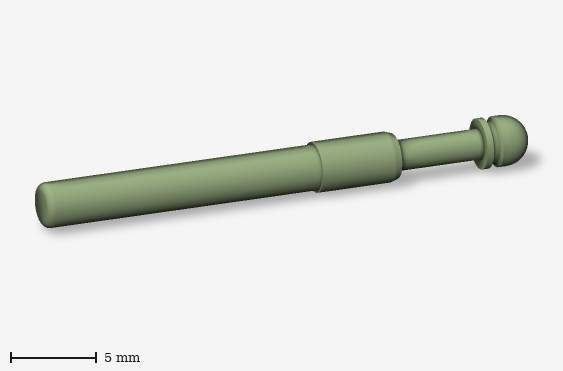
import cadquery as cq
import math


total_length = 30.3
head_radius = 1.5
head_tip = total_length / 2
tail_end = -total_length / 2

head_length = 2 * head_radius
groove_start = 2.0
groove_width = 0.6
groove_depth = 0.25
groove_taper = 0.15

stem_radius = 0.9

collar_start = 8.27
collar_length = 5.0
collar_radius = head_radius
collar_taper_length = 0.45

barrel_radius = 1.348
tail_fillet = 0.42


def make_head():
    """Domed head with a ring groove around its rim."""
    dome_base = head_tip - head_radius
    groove_top = head_tip - groove_start
    groove_bottom = groove_top - groove_width
    groove_radius = head_radius - groove_depth
    underside = head_tip - head_length
    dome_mid = head_radius * math.sqrt(0.5)
    profile = (
        cq.Workplane("XY")
        .moveTo(0, head_tip)
        .threePointArc((dome_mid, dome_base + dome_mid), (head_radius, dome_base))
        .lineTo(head_radius, groove_top)
        .lineTo(groove_radius, groove_top - groove_taper)
        .lineTo(groove_radius, groove_bottom + groove_taper)
        .lineTo(head_radius, groove_bottom)
        .lineTo(head_radius, underside)
        .lineTo(0, underside)
        .close()
    )
    return profile.revolve(360, (0, 0), (0, 1))


def make_cylinder(radius, top, bottom):
    """Solid cylinder on the Y axis between two Y positions."""
    return cq.Workplane("XZ", origin=(0, top, 0)).circle(radius).extrude(top - bottom)


def make_collar(top, bottom):
    """Sleeve that tapers to the barrel radius at its head end."""
    taper_height = collar_radius - barrel_radius
    sleeve = make_cylinder(collar_radius, top, bottom)
    return sleeve.faces(">Y").edges().chamfer(collar_taper_length, taper_height)


collar_top = head_tip - collar_start
collar_bottom = collar_top - collar_length

head = make_head()
stem = make_cylinder(stem_radius, head_tip - head_length, collar_top)
collar = make_collar(collar_top, collar_bottom)
barrel = make_cylinder(barrel_radius, collar_bottom, tail_end).faces("<Y").edges().fillet(tail_fillet)

result = head.union(stem).union(collar).union(barrel)